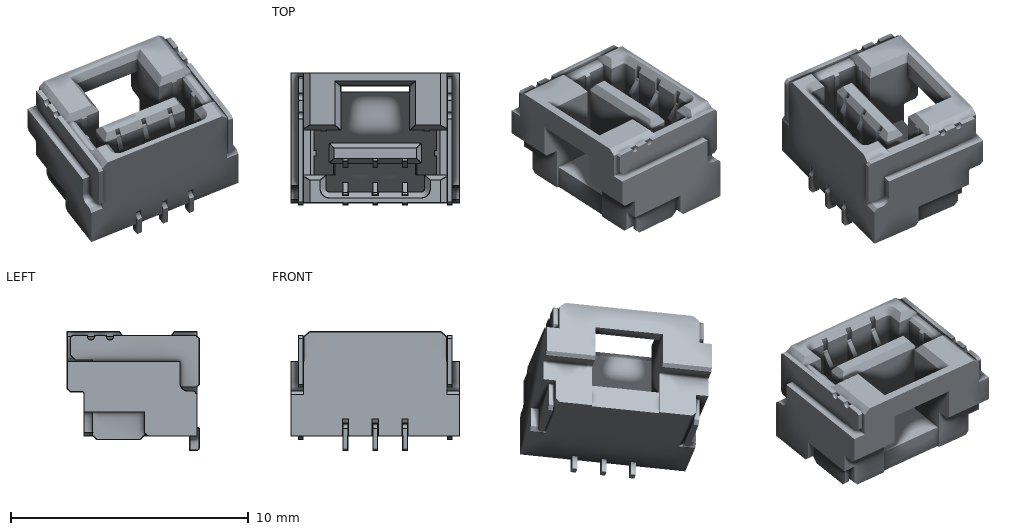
import cadquery as cq
import math

ARC_INSET = 1 - math.sqrt(0.5)

HALF_LENGTH = 3.55
HALF_CORE = 3.01
DEPTH = 5.47
HEIGHT = 4.4
CORE_CHAMFER_X = 0.26
CORE_CHAMFER_Z = 0.21

REAR_STEP_Y = 4.765
REAR_STEP_Z = 1.87
REAR_STEP_CHAMFER = 0.135
REAR_STEP_FILLET = 0.085

WING_TOP = 3.145
NOTCH_DEPTH = 0.725
NOTCH_FLOOR = 1.9
NOTCH_RADIUS = 0.33
NOTCH_CHAMFER = 0.15

RECESS_FRONT = 2.22
RECESS_TOP = 1.015
RECESS_CHAMFER = 0.155

RIM_Z = 4.105
BEVEL_HEIGHT = HEIGHT - RIM_Z
BEVEL_Y = 0.21
CAVITY_HALF = 2.585
CAVITY_FRONT = 1.17
CAVITY_BACK = 3.06
RIM_CHAMFER_X = 0.135
RIM_CHAMFER_Z = 0.11
UPPER_FLOOR = 0.995
LOWER_FLOOR = 0.85
TRENCH_HALF = 1.7
TRENCH_FLARE = 0.06
POCKET_HALF = 2.07
POCKET_FRONT = 0.46
POCKET_RADIUS = 0.14
POCKET_BEVEL = 0.25
WINDOW_HALF = 1.45
WINDOW_BACK = 4.93
WINDOW_BEVEL_X = 0.25
WINDOW_BEVEL_Y = 0.2
BRIDGE_BOTTOM = 3.37
FLOOR_BACK = 4.67

RIB_WIDTH = 0.23
SIDE_RIB_Y = 2.095
SIDE_RIB_HEIGHT = 0.085
CHEEK_RIB_X = 2.17
CHEEK_RIB_HEIGHT = 0.035

TONGUE_HALF = 1.945
TONGUE_FRONT = 1.67
TONGUE_BACK = 2.52
TONGUE_TOP = 4.0
TONGUE_BEVEL = 0.205
TONGUE_CORNER = 0.1

METAL_FRONT = -0.085

PITCH = 1.26
CONTACT_COUNT = 3
CONTACT_WIDTH = 0.205
SLOT_WIDTH = 0.255
SLOT_DEPTH = 0.32
SLOT_TOP_FRONT = 0.725
SLOT_TOP_BACK = 0.56
SLOT_CHAMFER_Y = 0.085
LEG_BOTTOM = -0.595
LEG_SHOULDER = 0.32
LEG_TOP = 0.51
LEG_SLOPE_BACK = 0.18
LEG_RADIUS = 0.11
TONGUE_SLOT_BACK = 1.875
REAR_ARM_TIP_Y = 1.5
FRONT_ARM_TIP_Y = 0.865
ARM_TIP_Z = 3.095
ARM_TOP = 3.68
ARM_RADIUS = 0.065

PLATE_INNER = 3.03
PLATE_THICKNESS = 0.2
PLATE_BACK = 5.325
PLATE_TOP = 4.24
PLATE_TAIL_BOTTOM = 3.195
PLATE_TAIL_CHAMFER = 0.21
PLATE_BACK_CHAMFER = 0.08
PLATE_FRONT_CHAMFER = 0.12
PLATE_FRONT_BOTTOM = 2.06
FOOT_FRONT = 2.13
FOOT_BACK = 4.4
FOOT_BOTTOM = -0.14
FOOT_FRONT_CHAMFER = 0.27
FOOT_BACK_CHAMFER = 0.17
PLATE_NOTCH_RADIUS = 0.15
PLATE_NOTCH_DEPTH = 0.19
PLATE_NOTCH_PLACES = (3.67, 4.465)


def box(x0, x1, y0, y1, z0, z1):
    """Axis-aligned block between two opposite corners."""
    return cq.Workplane("XY").box(x1 - x0, y1 - y0, z1 - z0, centered=False).translate((x0, y0, z0))


def side_profile(points, x0, x1):
    """Prism with a (Y, Z) outline that spans x0 to x1."""
    return cq.Workplane("YZ").polyline(points).close().extrude(x1 - x0).translate((x0, 0, 0))


def front_profile(points, y0, y1):
    """Prism with an (X, Z) outline that spans y0 to y1."""
    return cq.Workplane("XZ").polyline(points).close().extrude(y0 - y1).translate((0, y0, 0))


def both_sides(shape):
    """The shape together with its mirror image across X = 0."""
    return shape.union(shape.mirror("YZ"))


def make_shell():
    """Solid core with wings, stepped underside and foot recesses."""
    core = front_profile(
        [
            (-HALF_CORE, 0),
            (HALF_CORE, 0),
            (HALF_CORE, HEIGHT - CORE_CHAMFER_Z),
            (HALF_CORE - CORE_CHAMFER_X, HEIGHT),
            (CORE_CHAMFER_X - HALF_CORE, HEIGHT),
            (-HALF_CORE, HEIGHT - CORE_CHAMFER_Z),
        ],
        0,
        DEPTH,
    )
    notch_arc = NOTCH_RADIUS * ARC_INSET
    wing = (
        cq.Workplane("YZ")
        .moveTo(0, 0)
        .lineTo(DEPTH, 0)
        .lineTo(DEPTH, WING_TOP)
        .lineTo(NOTCH_DEPTH, WING_TOP)
        .lineTo(NOTCH_DEPTH, NOTCH_FLOOR + NOTCH_RADIUS)
        .threePointArc(
            (NOTCH_DEPTH - notch_arc, NOTCH_FLOOR + notch_arc),
            (NOTCH_DEPTH - NOTCH_RADIUS, NOTCH_FLOOR),
        )
        .lineTo(NOTCH_CHAMFER, NOTCH_FLOOR)
        .lineTo(0, NOTCH_FLOOR - NOTCH_CHAMFER)
        .close()
        .extrude(HALF_LENGTH)
    )
    rear_arc = REAR_STEP_FILLET * ARC_INSET
    rear_step = (
        cq.Workplane("YZ")
        .moveTo(REAR_STEP_Y, 0)
        .lineTo(DEPTH, 0)
        .lineTo(DEPTH, REAR_STEP_Z + REAR_STEP_CHAMFER)
        .lineTo(DEPTH - REAR_STEP_CHAMFER, REAR_STEP_Z)
        .lineTo(REAR_STEP_Y + REAR_STEP_FILLET, REAR_STEP_Z)
        .threePointArc(
            (REAR_STEP_Y + rear_arc, REAR_STEP_Z - rear_arc),
            (REAR_STEP_Y, REAR_STEP_Z - REAR_STEP_FILLET),
        )
        .close()
        .extrude(HALF_LENGTH, both=True)
    )
    recess = side_profile(
        [
            (RECESS_FRONT - RECESS_CHAMFER, 0),
            (REAR_STEP_Y, 0),
            (REAR_STEP_Y, RECESS_TOP),
            (RECESS_FRONT, RECESS_TOP),
            (RECESS_FRONT, RECESS_CHAMFER),
        ],
        HALF_CORE,
        HALF_LENGTH,
    )
    core_edge = front_profile(
        [(HALF_CORE - RECESS_CHAMFER, 0), (HALF_CORE, 0), (HALF_CORE, RECESS_CHAMFER)],
        RECESS_FRONT - RECESS_CHAMFER,
        REAR_STEP_Y,
    )
    shell = core.union(both_sides(wing)).cut(rear_step)
    return shell.cut(both_sides(recess)).cut(both_sides(core_edge))


def make_cavity():
    """Main cavity below the side rims, the bevelled gap above it and the contact trench."""
    lower = RIM_Z - RIM_CHAMFER_Z
    wide = CAVITY_HALF + RIM_CHAMFER_X
    main = front_profile(
        [
            (-CAVITY_HALF, UPPER_FLOOR),
            (CAVITY_HALF, UPPER_FLOOR),
            (CAVITY_HALF, lower),
            (wide, RIM_Z),
            (-wide, RIM_Z),
            (-CAVITY_HALF, lower),
        ],
        CAVITY_FRONT,
        CAVITY_BACK,
    )
    side_gap = side_profile(
        [
            (CAVITY_FRONT, RIM_Z),
            (CAVITY_BACK, RIM_Z),
            (CAVITY_BACK + BEVEL_Y, HEIGHT),
            (CAVITY_FRONT - BEVEL_Y, HEIGHT),
        ],
        -HALF_CORE,
        HALF_CORE,
    )
    flared = TRENCH_HALF + TRENCH_FLARE
    trench = front_profile(
        [
            (-TRENCH_HALF, LOWER_FLOOR),
            (TRENCH_HALF, LOWER_FLOOR),
            (flared, UPPER_FLOOR),
            (-flared, UPPER_FLOOR),
        ],
        CAVITY_FRONT,
        TONGUE_FRONT,
    )
    return main.union(side_gap).union(trench)


def make_front_pocket():
    """Pocket in the front block with rounded corners and a flared mouth."""

    def outline(grow, back, z):
        half = POCKET_HALF + grow
        front = POCKET_FRONT - grow
        radius = POCKET_RADIUS + grow
        arc = radius * ARC_INSET
        return (
            cq.Workplane("XY", origin=(0, 0, z))
            .moveTo(-half, back)
            .lineTo(-half, front + radius)
            .threePointArc((arc - half, front + arc), (radius - half, front))
            .lineTo(half - radius, front)
            .threePointArc((half - arc, front + arc), (half, front + radius))
            .lineTo(half, back)
            .close()
        )

    straight = outline(0, CAVITY_FRONT, LOWER_FLOOR).extrude(RIM_Z - LOWER_FLOOR)
    top_wire = outline(POCKET_BEVEL, CAVITY_FRONT, HEIGHT).val()
    bottom_wire = outline(0, CAVITY_FRONT, RIM_Z).val()
    flare = cq.Workplane(cq.Solid.makeLoft([bottom_wire, top_wire], True))
    return straight.union(flare)


def make_rear_window():
    """Window between the rear cheeks, open to the back below the bridge."""
    shaft = box(-WINDOW_HALF, WINDOW_HALF, CAVITY_BACK, WINDOW_BACK, UPPER_FLOOR, RIM_Z)
    exit_gap = box(-WINDOW_HALF, WINDOW_HALF, FLOOR_BACK, DEPTH, 0, BRIDGE_BOTTOM)

    mouth_front = (CAVITY_FRONT + CAVITY_BACK) / 2

    def mouth_section(z, grow_x, grow_y):
        half = WINDOW_HALF + grow_x
        back = WINDOW_BACK + grow_y
        corners = [(-half, mouth_front), (half, mouth_front), (half, back), (-half, back)]
        return cq.Workplane("XY", origin=(0, 0, z)).polyline(corners).close().val()

    sections = [mouth_section(RIM_Z, 0, 0), mouth_section(HEIGHT, WINDOW_BEVEL_X, WINDOW_BEVEL_Y)]
    mouth = cq.Workplane(cq.Solid.makeLoft(sections, True))
    return shaft.union(exit_gap).union(mouth)


def make_ribs():
    """Guide ribs on the side walls and cheeks, whose tops continue the bevels above them."""
    side_end = CAVITY_HALF - SIDE_RIB_HEIGHT
    side_top = RIM_Z - RIM_CHAMFER_Z
    side_drop = SIDE_RIB_HEIGHT * RIM_CHAMFER_Z / RIM_CHAMFER_X
    side = front_profile(
        [
            (side_end, UPPER_FLOOR),
            (CAVITY_HALF, UPPER_FLOOR),
            (CAVITY_HALF, side_top),
            (side_end, side_top - side_drop),
        ],
        SIDE_RIB_Y - RIB_WIDTH / 2,
        SIDE_RIB_Y + RIB_WIDTH / 2,
    )
    cheek_end = CAVITY_BACK - CHEEK_RIB_HEIGHT
    cheek_drop = CHEEK_RIB_HEIGHT * BEVEL_HEIGHT / BEVEL_Y
    cheek = side_profile(
        [
            (cheek_end, UPPER_FLOOR),
            (CAVITY_BACK, UPPER_FLOOR),
            (CAVITY_BACK, RIM_Z),
            (cheek_end, RIM_Z - cheek_drop),
        ],
        CHEEK_RIB_X - RIB_WIDTH / 2,
        CHEEK_RIB_X + RIB_WIDTH / 2,
    )
    return both_sides(side.union(cheek))


def make_tongue():
    """Upright tongue with rounded corners and a bevelled top."""
    tongue = box(-TONGUE_HALF, TONGUE_HALF, TONGUE_FRONT, TONGUE_BACK, LOWER_FLOOR, TONGUE_TOP)
    tongue = tongue.edges("|Z").fillet(TONGUE_CORNER)
    shoulder = TONGUE_TOP - BEVEL_HEIGHT

    def section(z, inset):
        length = 2 * (TONGUE_HALF - inset)
        thickness = TONGUE_BACK - TONGUE_FRONT - 2 * inset
        middle = (TONGUE_FRONT + TONGUE_BACK) / 2
        return cq.Workplane("XY", origin=(0, middle, z)).rect(length, thickness).val()

    bevelled = cq.Solid.makeLoft([section(shoulder, 0), section(TONGUE_TOP, TONGUE_BEVEL)], True)
    base = box(-TONGUE_HALF, TONGUE_HALF, TONGUE_FRONT, TONGUE_BACK, LOWER_FLOOR, shoulder)
    return tongue.intersect(base.union(cq.Workplane(bevelled)))


def make_contact_slots(x):
    """Leg slot in the front face, groove in the pocket wall and slot in the tongue."""
    half = SLOT_WIDTH / 2
    leg_slot = side_profile(
        [
            (0, 0),
            (SLOT_DEPTH, 0),
            (SLOT_DEPTH, SLOT_TOP_BACK),
            (SLOT_CHAMFER_Y, SLOT_TOP_BACK),
            (0, SLOT_TOP_FRONT),
        ],
        x - half,
        x + half,
    )
    groove = box(x - half, x + half, SLOT_DEPTH, POCKET_FRONT, LOWER_FLOOR, HEIGHT)
    half_contact = CONTACT_WIDTH / 2
    tongue_slot = box(
        x - half_contact, x + half_contact, TONGUE_FRONT, TONGUE_SLOT_BACK, LOWER_FLOOR, TONGUE_TOP
    )
    return leg_slot.union(groove).union(tongue_slot)


def make_spring_arm(wall_y, root_y, tip_y):
    """Spring arm with a domed top that leans away from the wall at wall_y to its tip."""
    toward_tip = math.copysign(ARM_RADIUS, tip_y - wall_y)
    dome_base = ARM_TOP - ARM_RADIUS
    return (
        cq.Workplane("YZ")
        .moveTo(wall_y, LOWER_FLOOR)
        .lineTo(wall_y, dome_base)
        .threePointArc((wall_y + toward_tip, ARM_TOP), (wall_y + 2 * toward_tip, dome_base))
        .lineTo(tip_y, ARM_TIP_Z)
        .lineTo(root_y, LOWER_FLOOR)
        .close()
        .extrude(CONTACT_WIDTH / 2, both=True)
    )


def make_contact(x):
    """Solder leg plus the two spring arms that face each other across the trench."""
    leg = side_profile(
        [
            (METAL_FRONT, LEG_BOTTOM),
            (SLOT_DEPTH, LEG_BOTTOM),
            (SLOT_DEPTH, LEG_TOP),
            (LEG_SLOPE_BACK, LEG_TOP),
            (METAL_FRONT, LEG_SHOULDER),
        ],
        -CONTACT_WIDTH / 2,
        CONTACT_WIDTH / 2,
    )
    leg = leg.faces("<Z").edges("<Y").fillet(LEG_RADIUS)
    rear_arm = make_spring_arm(TONGUE_SLOT_BACK, TONGUE_FRONT, REAR_ARM_TIP_Y)
    front_arm = make_spring_arm(SLOT_DEPTH, POCKET_FRONT, FRONT_ARM_TIP_Y)
    return leg.union(rear_arm).union(front_arm).translate((x, 0, 0))


def make_plate():
    """Side plate: broad upper blade, rear tail and a foot below the housing."""
    plate = side_profile(
        [
            (METAL_FRONT, PLATE_FRONT_BOTTOM + PLATE_FRONT_CHAMFER),
            (METAL_FRONT + PLATE_FRONT_CHAMFER, PLATE_FRONT_BOTTOM),
            (FOOT_FRONT, PLATE_FRONT_BOTTOM),
            (FOOT_FRONT, FOOT_BOTTOM + FOOT_FRONT_CHAMFER),
            (FOOT_FRONT + FOOT_FRONT_CHAMFER, FOOT_BOTTOM),
            (FOOT_BACK - FOOT_BACK_CHAMFER, FOOT_BOTTOM),
            (FOOT_BACK, FOOT_BOTTOM + FOOT_BACK_CHAMFER),
            (FOOT_BACK, PLATE_TAIL_BOTTOM),
            (PLATE_BACK - PLATE_TAIL_CHAMFER, PLATE_TAIL_BOTTOM),
            (PLATE_BACK, PLATE_TAIL_BOTTOM + PLATE_TAIL_CHAMFER),
            (PLATE_BACK, PLATE_TOP - PLATE_BACK_CHAMFER),
            (PLATE_BACK - PLATE_BACK_CHAMFER, PLATE_TOP),
            (METAL_FRONT + PLATE_FRONT_CHAMFER, PLATE_TOP),
            (METAL_FRONT, PLATE_TOP - PLATE_FRONT_CHAMFER),
        ],
        PLATE_INNER,
        PLATE_INNER + PLATE_THICKNESS,
    )
    arc_start = PLATE_TOP - PLATE_NOTCH_DEPTH + PLATE_NOTCH_RADIUS
    for y in PLATE_NOTCH_PLACES:
        notch = (
            cq.Workplane("YZ", origin=(PLATE_INNER, 0, 0))
            .moveTo(y - PLATE_NOTCH_RADIUS, PLATE_TOP)
            .lineTo(y - PLATE_NOTCH_RADIUS, arc_start)
            .threePointArc((y, PLATE_TOP - PLATE_NOTCH_DEPTH), (y + PLATE_NOTCH_RADIUS, arc_start))
            .lineTo(y + PLATE_NOTCH_RADIUS, PLATE_TOP)
            .close()
            .extrude(PLATE_THICKNESS)
        )
        plate = plate.cut(notch)
    return plate


result = make_shell().cut(make_cavity()).cut(make_front_pocket()).cut(make_rear_window())
result = result.union(make_ribs()).union(make_tongue())
for index in range(CONTACT_COUNT):
    contact_x = (index - (CONTACT_COUNT - 1) / 2) * PITCH
    result = result.cut(make_contact_slots(contact_x)).union(make_contact(contact_x))
result = result.union(both_sides(make_plate()))